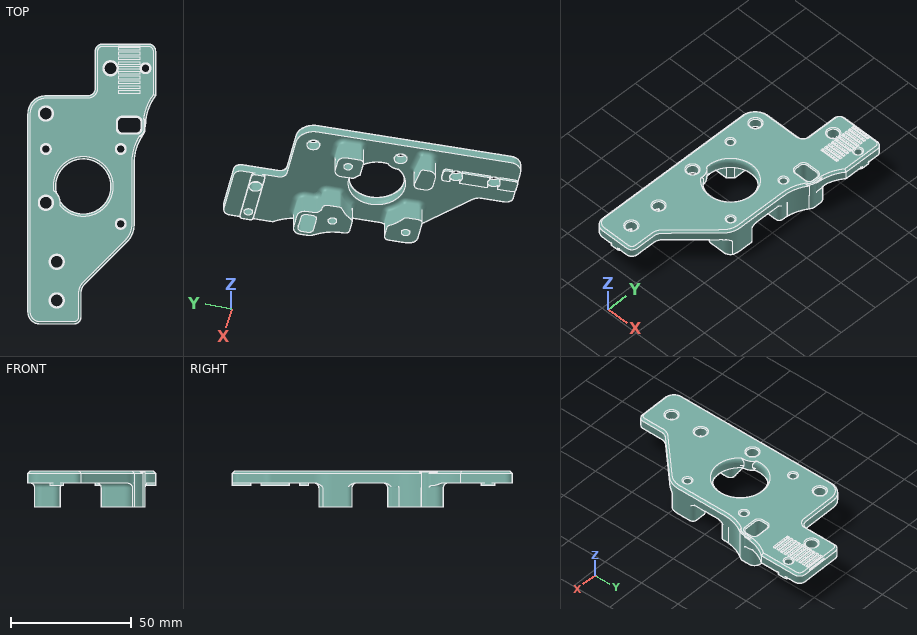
import cadquery as cq
import math


plate_thickness = 5.0
total_height = 15.0
plate_left = -23.0
plate_bottom = -57.0
plate_right = 21.15
shoulder_top = 37.6
foot_right = -0.9
diagonal_offset = 41.1
tab_left = 4.92
tab_right = plate_left + 53.03
tab_top = plate_bottom + 116.0
edge_chamfer = 1.0

shoulder_radius = 7.5
tab_radius = 3.0
foot_left_radius = 5.0
foot_right_radius = 3.0
foot_inner_radius = 5.0
diagonal_radius = 10.5

slot_x = 19.05
slot_y = 25.4
slot_length = 9.7
slot_width = 6.5
slot_radius = 2.0
sleeve_right = 25.6
sleeve_length = 2 * (sleeve_right - slot_x)
sleeve_left = sleeve_right - sleeve_length
sleeve_width = 10.2
sleeve_radius = 3.4
sleeve_chamfer = 0.45

sweep_radius = 20.0
lower_sweep_start = 9.9
lower_sweep_end_x = 24.7
upper_sweep_x = 25.85
upper_sweep_start = slot_y

bore_radius = 11.4
lip_radius = 11.9
lip_chamfer = 0.5
bore_hollow_x = 11.53
bore_hollow_z = -1.25
waist_top = -2.0
waist_bottom = -3.4

large_hole_radius = 2.65
small_hole_radius = 1.75
hole_chamfer = 0.5
motor_hole = 31.0 / 2
bracket_hole_top = 30.2
bracket_hole_bottom = -6.75
bracket_land_radius = 5.95
foot_hole_x = -11.0
foot_hole_top = -31.2
foot_hole_bottom = foot_hole_top - 16.0
tab_hole_y = 48.95
tab_large_hole_x = 11.3
tab_small_hole_x = 25.8

motor_clearance_radius = 15.3
pillar_base_fillet = 2.0
right_pillar_inner = 7.35
right_pillar_outer_radius = 4.0
right_pillar_side_radius = 2.0
right_pillar_inner_radius = 1.7
left_pillar_x0 = -20.2
left_pillar_x1 = -9.5
left_pillar_radius = 3.0
upper_pillar_y0 = 9.6
upper_pillar_y1 = 20.3
upper_pillar_inner_radius = 1.8
lower_pillar_y0 = -plate_right
lower_pillar_left_top = -14.55
lower_pillar_right_top = -13.1
lower_pillar_corner_radius = 3.25
lower_pillar_left_radius = 1.2
lower_pillar_right_radius = 2.1
sleeve_blend_radius = 3.0
web_x0 = 15.0
web_y0 = 12.0

groove_count = 11
groove_pitch = 2.0
groove_width = 1.1
groove_length = 9.0
groove_depth = 1.0
first_groove_y = 39.1

rail_width = 5.7
rail_height = 1.0
rail_radius = 1.3
foot_rail_top = -25.4
rail_gap = 4.2

oversize = 200.0


def box(x0, x1, y0, y1, z0, z1):
    base = cq.Workplane("XY", origin=((x0 + x1) / 2, (y0 + y1) / 2, z0))
    return base.rect(x1 - x0, y1 - y0).extrude(z1 - z0)


def cylinder(x, y, radius, z0, z1):
    return cq.Workplane("XY", origin=(x, y, z0)).circle(radius).extrude(z1 - z0)


def slab(z0, z1):
    """An oversized layer between two heights."""
    half = oversize / 2
    return box(-half, half, -half, half, z0, z1)


def round_corner(solid, x, y, radius):
    """Fillet the vertical edge nearest to a plan position."""
    bounds = solid.val().BoundingBox()
    nearest = cq.selectors.NearestToPointSelector((x, y, (bounds.zmin + bounds.zmax) / 2))
    return solid.edges("|Z").edges(nearest).fillet(radius)


def round_corners(solid, corners):
    for x, y, radius in corners:
        solid = round_corner(solid, x, y, radius)
    return solid


def sweep_offset(rise):
    """Sideways shift of a sweep at a height above its tangent point."""
    return sweep_radius - math.sqrt(sweep_radius**2 - rise**2)


def sweep_rise(offset):
    """Height above the tangent point at which a sweep has shifted sideways by offset."""
    return math.sqrt(sweep_radius**2 - (sweep_radius - offset) ** 2)


def plate_prism(height):
    """The plate outline extruded downwards from the top face."""
    lower_rise = sweep_rise(lower_sweep_end_x - plate_right)
    upper_rise = sweep_rise(tab_right - upper_sweep_x)
    lower_mid_x = plate_right + sweep_offset(lower_rise / 2)
    upper_mid_x = upper_sweep_x + sweep_offset(upper_rise / 2)
    diagonal_top = plate_right - diagonal_offset
    diagonal_bottom = foot_right - diagonal_offset
    prism = (
        cq.Workplane("XY", origin=(0, 0, -height))
        .moveTo(plate_left, plate_bottom)
        .lineTo(foot_right, plate_bottom)
        .lineTo(foot_right, diagonal_bottom)
        .lineTo(plate_right, diagonal_top)
        .lineTo(plate_right, lower_sweep_start)
        .threePointArc(
            (lower_mid_x, lower_sweep_start + lower_rise / 2),
            (lower_sweep_end_x, lower_sweep_start + lower_rise),
        )
        .lineTo(upper_sweep_x, upper_sweep_start)
        .threePointArc(
            (upper_mid_x, upper_sweep_start + upper_rise / 2),
            (tab_right, upper_sweep_start + upper_rise),
        )
        .lineTo(tab_right, tab_top)
        .lineTo(tab_left, tab_top)
        .lineTo(tab_left, shoulder_top)
        .lineTo(plate_left, shoulder_top)
        .close()
        .extrude(height)
    )
    corners = [
        (plate_left, plate_bottom, foot_left_radius),
        (foot_right, plate_bottom, foot_right_radius),
        (foot_right, diagonal_bottom, foot_inner_radius),
        (plate_right, diagonal_top, diagonal_radius),
        (tab_right, tab_top, tab_radius),
        (tab_left, tab_top, tab_radius),
        (tab_left, shoulder_top, tab_radius),
        (plate_left, shoulder_top, shoulder_radius),
    ]
    return round_corners(prism, corners)


def motor_bore():
    profile = (
        cq.Workplane("XZ")
        .lineTo(lip_radius + lip_chamfer, 0)
        .lineTo(lip_radius, -lip_chamfer)
        .threePointArc((bore_hollow_x, bore_hollow_z), (bore_radius, waist_top))
        .lineTo(bore_radius, waist_bottom)
        .lineTo(lip_radius, -plate_thickness)
        .lineTo(0, -plate_thickness)
        .close()
    )
    return profile.revolve(360, (0, 0, 0), (0, 1, 0))


def sleeve(top):
    """Rounded wall around the belt slot, from the pillar ends up to a given height."""
    block = cq.Workplane("XY", origin=(slot_x, slot_y, -total_height)).rect(sleeve_length, sleeve_width)
    return block.extrude(total_height + top).edges("|Z").fillet(sleeve_radius)


def clear_motor(post):
    return post.cut(cylinder(0, 0, motor_clearance_radius, -total_height, 0))


def right_pillar(side):
    """Motor corner pillar on the right; side is +1 for the upper one, -1 for the lower one."""
    inner = right_pillar_inner
    outer = plate_right
    reach = math.sqrt(motor_clearance_radius**2 - inner**2)
    y0, y1 = sorted((side * inner, side * outer))
    post = clear_motor(box(inner, outer, y0, y1, -total_height, -plate_thickness))
    corners = [
        (outer, side * outer, right_pillar_outer_radius),
        (inner, side * outer, right_pillar_side_radius),
        (outer, side * inner, right_pillar_side_radius),
        (inner, side * reach, right_pillar_inner_radius),
        (reach, side * inner, right_pillar_inner_radius),
    ]
    return round_corners(post, corners)


def upper_left_pillar():
    x0, x1 = left_pillar_x0, left_pillar_x1
    y0, y1 = upper_pillar_y0, upper_pillar_y1
    post = clear_motor(box(x0, x1, y0, y1, -total_height, -plate_thickness))
    corners = [
        (x0, y1, left_pillar_radius),
        (x1, y1, left_pillar_radius),
        (x0, y0, upper_pillar_inner_radius),
    ]
    return round_corners(post, corners)


def lower_left_pillar():
    """Pillar whose side facing the bracket hole is slightly slanted."""
    corners = [
        (left_pillar_x0, lower_pillar_y0, lower_pillar_corner_radius),
        (left_pillar_x1, lower_pillar_y0, left_pillar_radius),
        (left_pillar_x1, lower_pillar_right_top, lower_pillar_right_radius),
        (left_pillar_x0, lower_pillar_left_top, lower_pillar_left_radius),
    ]
    outline = [(x, y) for x, y, radius in corners]
    base = cq.Workplane("XY", origin=(0, 0, -total_height)).polyline(outline).close()
    return round_corners(base.extrude(total_height - plate_thickness), corners)


def pillars():
    """All pillars with their base fillets, trimmed to the plate outline."""
    full_prism = plate_prism(total_height)
    web = box(web_x0, lower_sweep_end_x, web_y0, slot_y, -total_height, -plate_thickness)
    posts = right_pillar(1).union(sleeve(-plate_thickness))
    posts = round_corner(posts, sleeve_left, plate_right, sleeve_blend_radius)
    posts = posts.union(full_prism.intersect(web))
    posts = posts.union(right_pillar(-1))
    posts = posts.union(upper_left_pillar())
    posts = posts.union(lower_left_pillar())

    body = slab(-plate_thickness, 0).union(posts)
    base_half = oversize / 2 - 1
    margin = 0.01
    base_edges = cq.selectors.BoxSelector(
        (-base_half, -base_half, -plate_thickness - margin),
        (base_half, base_half, -plate_thickness + margin),
    )
    body = body.edges(base_edges).fillet(pillar_base_fillet)
    body = body.intersect(slab(-total_height, -plate_thickness))
    return body.intersect(full_prism)


def screw_hole(x, y, radius):
    """Through hole with a chamfered top edge."""
    rim = cq.Workplane("XY", origin=(x, y, 0)).circle(radius + hole_chamfer)
    countersink = rim.extrude(-hole_chamfer, taper=45)
    return cylinder(x, y, radius, -total_height, 0).union(countersink)


def belt_slot():
    """Through slot with a chamfered top edge."""
    base = cq.Workplane("XY", origin=(slot_x, slot_y, -total_height)).rect(slot_length, slot_width)
    opening = base.extrude(total_height).edges("|Z").fillet(slot_radius)
    rim = opening.faces(">Z").wires().toPending().workplane().offset2D(hole_chamfer)
    return opening.union(rim.extrude(-hole_chamfer, combine=False, taper=45))


def rail(x0, x1, y0, y1):
    block = box(x0, x1, y0, y1, -plate_thickness - rail_height, -plate_thickness)
    return block.edges("|Z").fillet(rail_radius)


def rails():
    """One rail across the tab and one along the foot, interrupted at the foot holes."""
    half = rail_width / 2
    tab_rail = rail(tab_left, tab_right, tab_hole_y - half, tab_hole_y + half)
    x0, x1 = foot_hole_x - half, foot_hole_x + half
    foot_rail = rail(x0, x1, plate_bottom, foot_rail_top)
    for y in (foot_hole_top, foot_hole_bottom):
        gap = box(x0, x1, y - rail_gap / 2, y + rail_gap / 2, -total_height, -plate_thickness)
        foot_rail = foot_rail.cut(gap)
    return tab_rail.union(foot_rail)


def belt_grooves():
    x0 = slot_x - groove_length / 2
    x1 = slot_x + groove_length / 2
    grooves = cq.Workplane("XY")
    for i in range(groove_count):
        y = first_groove_y + i * groove_pitch
        grooves = grooves.union(box(x0, x1, y - groove_width / 2, y + groove_width / 2, -groove_depth, 0))
    return grooves


large_holes = [
    (-motor_hole, bracket_hole_top),
    (-motor_hole, bracket_hole_bottom),
    (foot_hole_x, foot_hole_top),
    (foot_hole_x, foot_hole_bottom),
    (tab_large_hole_x, tab_hole_y),
]
small_holes = [
    (motor_hole, motor_hole),
    (motor_hole, -motor_hole),
    (-motor_hole, motor_hole),
    (tab_small_hole_x, tab_hole_y),
]

plate = plate_prism(plate_thickness).faces(">Z").edges().chamfer(edge_chamfer)
plate = plate.cut(motor_bore())
plate = plate.union(cylinder(-motor_hole, bracket_hole_bottom, bracket_land_radius, -plate_thickness, 0))
plate = plate.union(pillars())
plate = plate.union(sleeve(0).faces(">Z").chamfer(sleeve_chamfer))
plate = plate.union(rails())
for x, y in large_holes:
    plate = plate.cut(screw_hole(x, y, large_hole_radius))
for x, y in small_holes:
    plate = plate.cut(screw_hole(x, y, small_hole_radius))
plate = plate.cut(belt_slot())
plate = plate.cut(belt_grooves())
result = plate